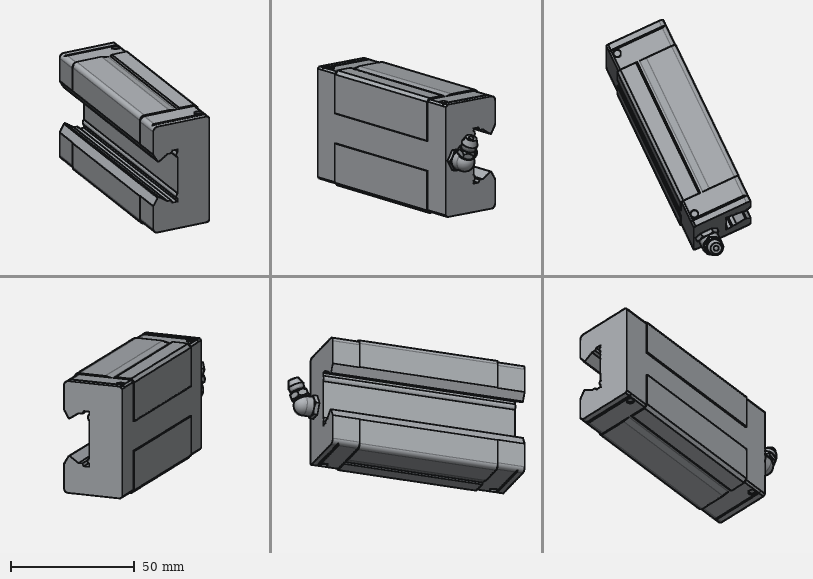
import cadquery as cq
import math


BLOCK_LENGTH = 83.1
BODY_LENGTH = 59.8
CAP_LENGTH = (BLOCK_LENGTH - BODY_LENGTH) / 2
BODY_DEPTH = 26.2
BODY_HEIGHT = 48.0
FRONT_STEP = 0.1
OUTER_STEP = 0.6
CAP_HALF_HEIGHT = BODY_HEIGHT / 2 - OUTER_STEP
CAP_BACK = BODY_DEPTH - OUTER_STEP
FRONT_FILLET = 2.0
BODY_BACK_CHAMFER = 1.4
CAP_BACK_CHAMFER = BODY_BACK_CHAMFER - OUTER_STEP

SIDE_GROOVE_RAMP_START = 13.2
SIDE_GROOVE_RAMP_END = 16.2
SIDE_GROOVE_WALL_BOTTOM = 17.2
SIDE_GROOVE_WALL_TOP = 17.9
BACK_GROOVE_WIDTH = 12.5

MOUTH_HALF_WIDTH = 11.5
LIP_START = 2.1
LIP_END = 2.6
LIP_FRONT_HALF_WIDTH = 8.0
LIP_HALF_WIDTH = 7.8
LEDGE_START = 6.5
LEDGE_END = 8.2
LEDGE_HALF_WIDTH = 10.4
POCKET_START = 8.8
POCKET_HALF_WIDTH = 11.5
CHANNEL_DEPTH = 11.2
RIDGE_HALF_WIDTH = 1.2
RIDGE_CENTER = 9.2
RIDGE_HEIGHT = 0.6

NOTCH_INSET = 2.65
NOTCH_WIDTH = 0.6
NOTCH_DEPTH = 0.4
PORT_INSET = 4.9
PORT_Y = 23.0
PORT_DIAMETER = 3.0
PORT_DEPTH = 0.9

NIPPLE_Y = 20.1
NIPPLE_TILT = 22.0
BASE_FLATS = 8.3
BASE_THICKNESS = 1.9
BASE_CHAMFER = 0.4
ELBOW_RADIUS = 4.1
ELBOW_X = -5.1
NUT_FLATS = 7.1
NUT_START = 3.1
NUT_END = 6.4
NUT_FACE_RADIUS = 3.2
NUT_LOWER_CHAMFER = 0.8
NUT_UPPER_CHAMFER = 1.1
NECK_RADIUS = 3.0
NECK_END = 7.2
HEAD_RADIUS = 3.3
HEAD_WIDEST = 8.8
TIP_RADIUS = 2.3
TIP_END = 11.5
DOME_RADIUS = 1.0
DOME_HEIGHT = 0.3

SIDES = (1, -1)


def box_between(x0, x1, y0, y1, z0, z1):
    return cq.Workplane("XY").box(x1 - x0, y1 - y0, z1 - z0, centered=False).translate((x0, y0, z0))


def rounded_bar(x0, x1, front, back, half_height, back_chamfer):
    """Bar along X with rounded front edges and chamfered back edges."""
    bar = box_between(x0, x1, front, back, -half_height, half_height)
    bar = bar.edges("|X and <Y").fillet(FRONT_FILLET)
    return bar.edges("|X and >Y").chamfer(back_chamfer)


def mirror_in_z(shape):
    return shape.mirror("XY")


def side_groove():
    """Groove with one shallow ramp and one steep wall in the +Z face of the middle."""
    top = BODY_HEIGHT / 2
    return (
        cq.Workplane("YZ", origin=(CAP_LENGTH, 0, 0))
        .moveTo(SIDE_GROOVE_RAMP_START, top)
        .lineTo(SIDE_GROOVE_RAMP_END, CAP_HALF_HEIGHT)
        .lineTo(SIDE_GROOVE_WALL_BOTTOM, CAP_HALF_HEIGHT)
        .lineTo(SIDE_GROOVE_WALL_TOP, top)
        .close()
        .extrude(BODY_LENGTH)
    )


def middle_section():
    end = CAP_LENGTH + BODY_LENGTH
    middle = rounded_bar(CAP_LENGTH, end, 0, BODY_DEPTH, BODY_HEIGHT / 2, BODY_BACK_CHAMFER)
    half_groove = BACK_GROOVE_WIDTH / 2
    back_groove = box_between(CAP_LENGTH, end, CAP_BACK, BODY_DEPTH, -half_groove, half_groove)
    groove = side_groove()
    return middle.cut(back_groove).cut(groove).cut(mirror_in_z(groove))


def notch():
    """Sawtooth notch across the +Z face of the left cap, deepest on its outer side."""
    return (
        cq.Workplane("XZ")
        .moveTo(NOTCH_INSET, CAP_HALF_HEIGHT - NOTCH_DEPTH)
        .lineTo(NOTCH_INSET + NOTCH_WIDTH, CAP_HALF_HEIGHT)
        .lineTo(NOTCH_INSET, CAP_HALF_HEIGHT)
        .close()
        .extrude(-BODY_DEPTH)
    )


def port():
    """Shallow blind grease port in the +Z face of the left cap."""
    return (
        cq.Workplane("XY", origin=(PORT_INSET, PORT_Y, CAP_HALF_HEIGHT))
        .circle(PORT_DIAMETER / 2)
        .extrude(-PORT_DEPTH)
    )


def left_cap():
    cap = rounded_bar(0, CAP_LENGTH, FRONT_STEP, CAP_BACK, CAP_HALF_HEIGHT, CAP_BACK_CHAMFER)
    for cutter in (notch(), port()):
        cap = cap.cut(cutter).cut(mirror_in_z(cutter))
    return cap


def rail_channel():
    """Undercut channel with a rounded ridge along each side of its floor."""
    half = [
        (0, MOUTH_HALF_WIDTH),
        (LIP_START, LIP_FRONT_HALF_WIDTH),
        (LIP_END, LIP_HALF_WIDTH),
        (LEDGE_START, LEDGE_HALF_WIDTH),
        (LEDGE_END, LEDGE_HALF_WIDTH),
        (POCKET_START, POCKET_HALF_WIDTH),
        (CHANNEL_DEPTH, POCKET_HALF_WIDTH),
    ]
    outline = half + [(y, -z) for y, z in reversed(half)]
    channel = cq.Workplane("YZ").polyline(outline).close().extrude(BLOCK_LENGTH)
    for side in SIDES:
        ridge = (
            cq.Workplane("YZ")
            .moveTo(CHANNEL_DEPTH, side * RIDGE_CENTER - RIDGE_HALF_WIDTH)
            .threePointArc(
                (CHANNEL_DEPTH - RIDGE_HEIGHT, side * RIDGE_CENTER),
                (CHANNEL_DEPTH, side * RIDGE_CENTER + RIDGE_HALF_WIDTH),
            )
            .close()
            .extrude(BLOCK_LENGTH)
        )
        channel = channel.cut(ridge)
    return channel


def carriage_block():
    cap = left_cap()
    right_cap = cap.mirror("YZ", (BLOCK_LENGTH / 2, 0, 0))
    return middle_section().union(cap).union(right_cap).cut(rail_channel())


def chamfered_hexagon(across_flats, start, end, face_radius, start_chamfer, end_chamfer):
    """Hexagon along Z whose corners are turned down to face_radius at its chamfered ends."""
    corner_radius = across_flats / 2 / math.cos(math.pi / 6)
    prism = cq.Workplane("XY", origin=(0, 0, start)).polygon(6, 2 * corner_radius).extrude(end - start)
    for face, chamfer in ((start, start_chamfer), (end, -end_chamfer)):
        if chamfer:
            far_z = end if face == start else start
            envelope = (
                cq.Workplane("XZ")
                .moveTo(0, face)
                .lineTo(face_radius, face)
                .lineTo(corner_radius, face + chamfer)
                .lineTo(corner_radius, far_z)
                .lineTo(0, far_z)
                .close()
                .revolve(360, (0, 0, 0), (0, 1, 0))
            )
            prism = prism.intersect(envelope)
    return prism


def nipple_elbow():
    """Hexagonal base against the block, then a round neck with a spherical end."""
    base = chamfered_hexagon(BASE_FLATS, 0, BASE_THICKNESS, BASE_FLATS / 2, 0, BASE_CHAMFER)
    base = base.rotate((0, 0, 0), (0, 0, 1), 90).rotate((0, 0, 0), (0, 1, 0), -90)
    arc_offset = ELBOW_RADIUS * math.cos(math.pi / 4)
    elbow = (
        cq.Workplane("XY")
        .moveTo(0, 0)
        .lineTo(0, ELBOW_RADIUS)
        .lineTo(ELBOW_X, ELBOW_RADIUS)
        .threePointArc((ELBOW_X - arc_offset, arc_offset), (ELBOW_X - ELBOW_RADIUS, 0))
        .close()
        .revolve(360, (0, 0, 0), (1, 0, 0))
    )
    return elbow.union(base)


def nipple_nut():
    """Hexagon along Z with both ends chamfered."""
    return chamfered_hexagon(
        NUT_FLATS, NUT_START, NUT_END, NUT_FACE_RADIUS, NUT_LOWER_CHAMFER, NUT_UPPER_CHAMFER
    )


def nipple_head():
    """Round neck and tapered head along Z, with a low dome on its tip."""
    half_dome = DOME_RADIUS / 2
    dome_sphere = (DOME_RADIUS**2 + DOME_HEIGHT**2) / (2 * DOME_HEIGHT)
    half_dome_z = TIP_END + DOME_HEIGHT - dome_sphere + math.sqrt(dome_sphere**2 - half_dome**2)
    return (
        cq.Workplane("XZ")
        .lineTo(NECK_RADIUS, 0)
        .lineTo(NECK_RADIUS, NECK_END)
        .lineTo(HEAD_RADIUS, HEAD_WIDEST)
        .lineTo(TIP_RADIUS, TIP_END)
        .lineTo(DOME_RADIUS, TIP_END)
        .threePointArc((half_dome, half_dome_z), (0, TIP_END + DOME_HEIGHT))
        .close()
        .revolve(360, (0, 0, 0), (0, 1, 0))
    )


def grease_nipple():
    head = nipple_head().union(nipple_nut())
    head = head.rotate((0, 0, 0), (0, 1, 0), -NIPPLE_TILT).translate((ELBOW_X, 0, 0))
    return nipple_elbow().union(head).translate((0, NIPPLE_Y, 0))


block = carriage_block()
nipple = grease_nipple()

result = cq.Compound.makeCompound([block.val(), nipple.val()])